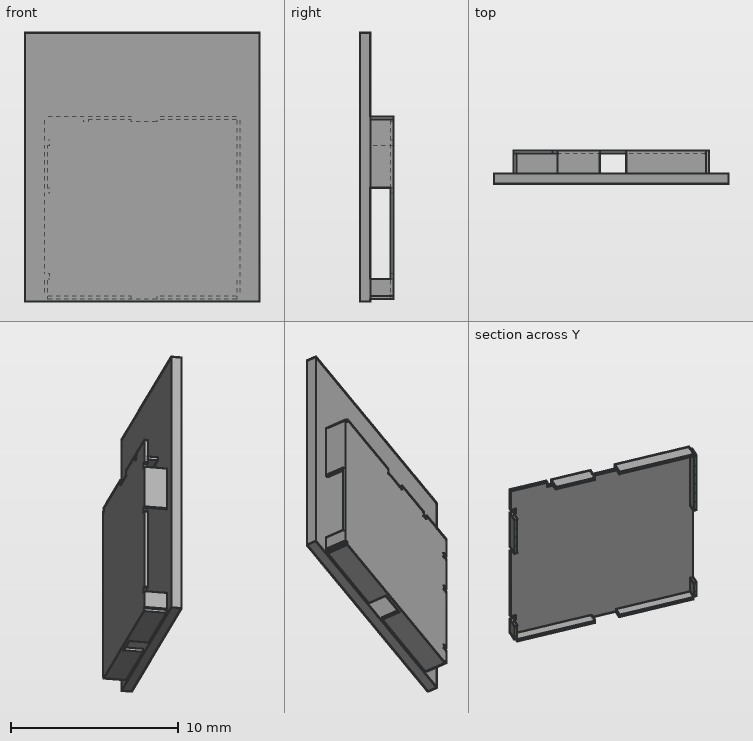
import cadquery as cq

plate_width = 14.0
plate_height = 16.04
plate_thickness = 0.63
total_depth = 2.0

sheet = 0.2
can_half_width = 5.84
can_bottom = 0.16
can_top = 11.05
inner_half_width = can_half_width - sheet
inner_bottom = can_bottom + sheet
inner_top = can_top - sheet
roof_front = total_depth - sheet

side_gap = (1.36, 6.78)
left_wall_top = 9.32
top_wall_left = -3.19
end_gap = (-0.67, 0.88)

slit_width = 0.3
slit_depth = 0.32


def block(x_range, y_range, z_range):
    """Box spanning the given ranges along X, Y and Z."""
    size = [high - low for low, high in (x_range, y_range, z_range)]
    corner = (x_range[0], y_range[0], z_range[0])
    return cq.Workplane("XY").box(*size, centered=False).translate(corner)


def side_wall(x_range, z_range):
    return block(x_range, (plate_thickness, total_depth), z_range)


plate = block((-plate_width / 2, plate_width / 2), (0, plate_thickness), (0, plate_height))

roof_depth = (roof_front, total_depth)
roof = block((-can_half_width, can_half_width), roof_depth, (can_bottom, can_top))
left_slit = (-can_half_width, -can_half_width + slit_depth)
for slit_bottom in (side_gap[0], side_gap[1] - slit_width, left_wall_top):
    roof = roof.cut(block(left_slit, roof_depth, (slit_bottom, slit_bottom + slit_width)))
top_slit = (top_wall_left - slit_width, top_wall_left)
roof = roof.cut(block(top_slit, roof_depth, (can_top - slit_depth, can_top)))
roof = roof.cut(block(end_gap, roof_depth, (can_top - slit_depth, can_top)))
for corner_x in ((-can_half_width, -inner_half_width), (inner_half_width, can_half_width)):
    roof = roof.cut(block(corner_x, roof_depth, (can_bottom, inner_bottom)))

left = (-can_half_width, -inner_half_width)
right = (inner_half_width, can_half_width)
bottom = (can_bottom, inner_bottom)
top = (inner_top, can_top)
walls = [
    (left, (inner_bottom, side_gap[0])),
    (left, (side_gap[1], left_wall_top)),
    (right, (inner_bottom, side_gap[0])),
    (right, (side_gap[1], inner_top)),
    ((-inner_half_width, end_gap[0]), bottom),
    ((end_gap[1], inner_half_width), bottom),
    ((top_wall_left, end_gap[0]), top),
    ((end_gap[1], inner_half_width), top),
]

result = plate.union(roof)
for x_range, z_range in walls:
    result = result.union(side_wall(x_range, z_range))

result = result.cut(side_wall(right, top))